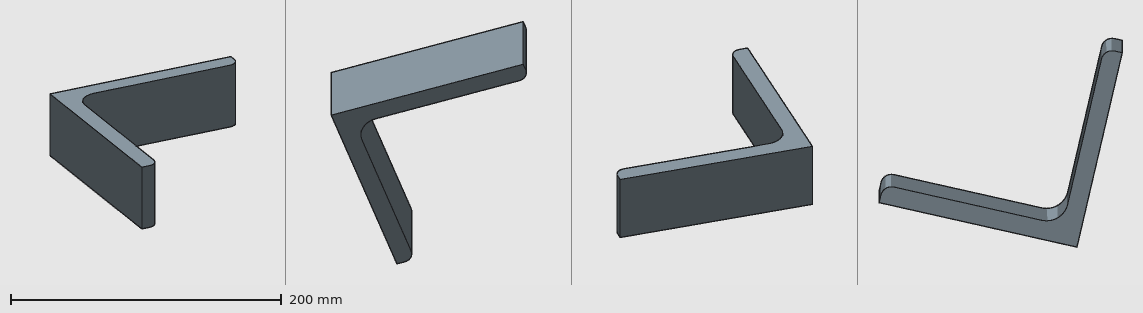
import cadquery as cq

leg_length = 150.0
leg_thickness = 14.0
root_radius = 16.0
toe_radius = root_radius / 2
height = 50.0

section = [
    (0, 0),
    (leg_length, 0),
    (leg_length, leg_thickness),
    (leg_thickness, leg_thickness),
    (leg_thickness, leg_length),
    (0, leg_length),
]
angle = cq.Workplane("XY").polyline(section).close().extrude(height)


def round_edge(body, x, y, radius):
    """Fillet the vertical edge of the body nearest to the point (x, y)."""
    nearest_edge = cq.selectors.NearestToPointSelector((x, y, height / 2))
    return body.edges("|Z").edges(nearest_edge).fillet(radius)


angle = round_edge(angle, leg_thickness, leg_thickness, root_radius)

angle = round_edge(angle, leg_length, leg_thickness, toe_radius)
angle = round_edge(angle, leg_thickness, leg_length, toe_radius)

result = angle